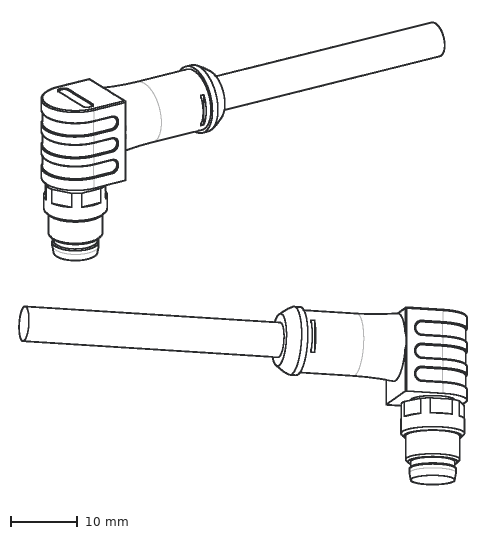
import cadquery as cq
import math


head_width = 10.3
head_radius = head_width / 2
head_top = head_radius
head_height = 12.95
head_bottom = head_top - head_height
head_back = 5.8
edge_chamfer = 0.2

recess_depth = 0.17
recess_height = 2.3
recess_pitch = 3.5
recess_count = 3
recess_top_center = 2.1
recess_back = 4.4
recess_wall_taper = 45.0

pocket_length = 8.25
pocket_width = 1.7
pocket_corner = 0.7
pocket_depth = 0.2

total_length = 69.3
cable_end = total_length - head_radius
cable_diameter = 5.3
cable_radius = cable_diameter / 2
sleeve_radius = 4.7
flare_start = 12.3
flare_radius = 5.1
collar_radius = head_radius
collar_front = 21.15
collar_back = 22.1
dome_end = 24.1
dome_end_radius = 3.95
dome_bulge = 0.1

slit_center = 20.0
slit_width = 0.55
slit_floor = 4.0

total_height = 25.2
plug_bottom = head_top - total_height
plug_neck_radius = 3.3
nut_top = -8.45
nut_radius = 4.8
nut_chamfer_top = -12.9
nut_bottom = -13.3
barrel_radius = 4.1
barrel_chamfer_top = -16.9
barrel_bottom = -17.25
barrel_end_radius = 3.75
rim_top = -18.15
rim_shoulder = -18.35
rim_taper_top = -18.9
rim_radius = 3.5

flats_width = 8.95
flat_distance = flats_width / 2
flat_count = 6
flat_bottom = -10.75


def make_head():
    """Block with straight sides, a half-round front and bevelled top and back edges."""
    block = (
        cq.Workplane("XY", origin=(0, 0, head_bottom))
        .moveTo(-head_radius, head_back)
        .lineTo(-head_radius, 0)
        .threePointArc((0, -head_radius), (head_radius, 0))
        .lineTo(head_radius, head_back)
        .close()
        .extrude(head_height)
    )
    bevelled_top = block.faces(">Z").edges().chamfer(edge_chamfer)
    return bevelled_top.faces(">Y").edges("|Z").chamfer(edge_chamfer)


def recess_side(side, center_height):
    """Round-ended slot with sloping walls in one flat side of the head."""
    slot_front = -recess_height
    return (
        cq.Workplane("YZ", origin=(side * head_radius, 0, center_height))
        .center((recess_back + slot_front) / 2, 0)
        .slot2D(recess_back - slot_front, recess_height)
        .extrude(-side * recess_depth, taper=recess_wall_taper)
    )


def recess_front(center_height):
    """Groove with sloping walls around the half-round front of the head."""
    floor_radius = head_radius - recess_depth
    half_mouth = recess_height / 2
    half_floor = half_mouth - recess_depth * math.tan(math.radians(recess_wall_taper))
    profile = [
        (floor_radius, center_height - half_floor),
        (head_radius, center_height - half_mouth),
        (head_radius, center_height + half_mouth),
        (floor_radius, center_height + half_floor),
    ]
    return (
        cq.Workplane("XZ")
        .polyline(profile)
        .close()
        .revolve(180, (0, 0, 0), (0, -1, 0))
    )


def marking_pocket():
    return (
        cq.Workplane("XY", origin=(0, 0, head_top - pocket_depth))
        .rect(pocket_length, pocket_width)
        .extrude(pocket_depth)
        .edges("|Z")
        .fillet(pocket_corner)
    )


def make_sleeve():
    """Flared sleeve, collar, domed end and cable, turned about the Y axis."""
    dome_middle = (
        (collar_radius + dome_end_radius) / 2 + dome_bulge,
        (collar_back + dome_end) / 2 + dome_bulge,
    )
    return (
        cq.Workplane("XY")
        .moveTo(0, cable_end)
        .lineTo(cable_radius, cable_end)
        .lineTo(cable_radius, dome_end)
        .lineTo(dome_end_radius, dome_end)
        .threePointArc(dome_middle, (collar_radius, collar_back))
        .lineTo(collar_radius, collar_front)
        .lineTo(sleeve_radius, collar_front)
        .lineTo(sleeve_radius, flare_start)
        .tangentArcPoint((flare_radius, head_back), relative=False)
        .lineTo(flare_radius, head_back - edge_chamfer)
        .lineTo(0, head_back - edge_chamfer)
        .close()
        .revolve(360, (0, 0, 0), (0, 1, 0))
    )


def sleeve_slit(side):
    depth = sleeve_radius - slit_floor
    return (
        cq.Workplane("XY")
        .box(depth, slit_width, 2 * sleeve_radius)
        .translate((side * (slit_floor + depth / 2), slit_center, 0))
    )


def make_plug():
    """Neck, nut, barrel and rim, turned about the Z axis."""
    profile = [
        (0, head_bottom),
        (plug_neck_radius, head_bottom),
        (plug_neck_radius, nut_top),
        (nut_radius, nut_top),
        (nut_radius, nut_chamfer_top),
        (nut_radius - (nut_chamfer_top - nut_bottom), nut_bottom),
        (barrel_radius, nut_bottom),
        (barrel_radius, barrel_chamfer_top),
        (barrel_end_radius, barrel_bottom),
        (plug_neck_radius, barrel_bottom),
        (plug_neck_radius, rim_top),
        (rim_radius, rim_shoulder),
        (rim_radius, rim_taper_top),
        (plug_neck_radius, plug_bottom),
        (0, plug_bottom),
    ]
    return cq.Workplane("XZ").polyline(profile).close().revolve(360, (0, 0, 0), (0, 1, 0))


def nut_flat(angle):
    depth = nut_radius - flat_distance
    return (
        cq.Workplane("XY")
        .box(depth, 2 * nut_radius, nut_top - flat_bottom)
        .translate((flat_distance + depth / 2, 0, (nut_top + flat_bottom) / 2))
        .rotate((0, 0, 0), (0, 0, 1), angle)
    )


head = make_head()
for index in range(recess_count):
    center_height = recess_top_center - index * recess_pitch
    head = head.cut(recess_front(center_height))
    for side in (-1, 1):
        head = head.cut(recess_side(side, center_height))
head = head.cut(marking_pocket())

sleeve = make_sleeve()
for side in (-1, 1):
    sleeve = sleeve.cut(sleeve_slit(side))

plug = make_plug()
for index in range(flat_count):
    plug = plug.cut(nut_flat(index * 360 / flat_count))

result = head.union(sleeve).union(plug)